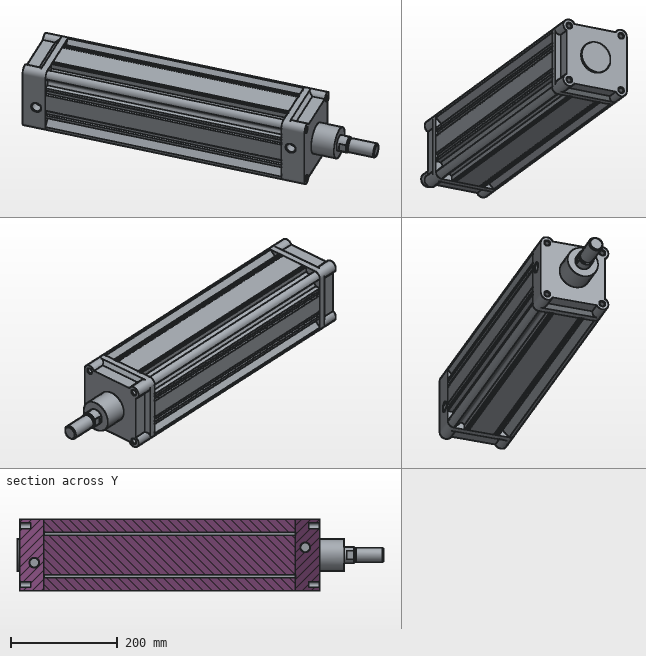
import cadquery as cq
import math

TOTAL_LENGTH = 685.0
REAR_BOSS_LENGTH = 4.0
CAP_LENGTH = 46.0
TUBE_LENGTH = 470.0
FRONT_BOSS_LENGTH = 45.0

TUBE_START = REAR_BOSS_LENGTH + CAP_LENGTH
TUBE_END = TUBE_START + TUBE_LENGTH
FRONT_FACE = TUBE_END + CAP_LENGTH
ROD_START = FRONT_FACE + FRONT_BOSS_LENGTH
CYLINDER_MIDDLE = (TUBE_START + TUBE_END) / 2

WIDTH = 134.0
HALF_WIDTH = WIDTH / 2
CORNER_RADIUS = 12.0
CORNER_CENTER = HALF_WIDTH - CORNER_RADIUS

GROOVE_WALL_SPACING = 68.0
GROOVE_DEPTH = 14.5
GROOVE_RAMP_ANGLE = 33.0
GROOVE_FLOOR_RADIUS = 3.5

SIDE_SLOT_INNER_SPACING = 35.5
SIDE_SLOT_OUTER_SPACING = 57.0
SIDE_SLOT_FLARE = 1.5
SIDE_SLOT_DEPTH = 4.0

TOP_SLOT_INNER_SPACING = 51.0
TOP_SLOT_OUTER_SPACING = 60.0
TOP_SLOT_DEPTH = 2.0

BOSS_RADIUS = 30.0
POCKET_DEPTH = 7.0
POCKET_FLOOR_LENGTH = 25.0
POCKET_SLOPE_RUN = 8.0
SCREW_HOLE_RADIUS = 5.0
SCREW_HOLE_DEPTH = 20.5
SCREW_HOLE_CHAMFER = 1.5
PORT_RADIUS = 9.0
PORT_DEPTH = 20.5
PORT_CHAMFER = 1.5
PORT_FROM_CAP_FACE = 27.5
PORT_OFFSET = 14.5

COLLAR_DIAMETER = 31.0
COLLAR_LENGTH = 5.0
FLATS_LENGTH = 14.0
FLATS_WIDTH = 27.0
THREAD_DIAMETER = 27.5
RELIEF_DIAMETER = 25.5
RELIEF_LENGTH = 4.0
ROD_CHAMFER = 2.0


def square_bar(start, length):
    """Square bar with rounded corners, running along X."""
    bar = cq.Workplane("YZ", origin=(start, 0, 0)).rect(WIDTH, WIDTH).extrude(length)
    return bar.edges("|X").fillet(CORNER_RADIUS)


def chamfered_hole(plane, radius, depth, chamfer):
    """Cutter for a round blind hole with a chamfered mouth at the plane's origin."""
    points = [(0, 0), (radius + chamfer, 0), (radius, -chamfer), (radius, -depth), (0, -depth)]
    profile = cq.Workplane(plane).polyline(points).close()
    return profile.revolve(360, (0, 0, 0), (0, 1, 0))


def tube_prism(points):
    """Prism over the tube length from outline points in (Y, Z)."""
    return cq.Workplane("YZ", origin=(TUBE_START, 0, 0)).polyline(points).close().extrude(TUBE_LENGTH)


def corner_groove():
    """Groove on the +Z face next to the +Y corner: 45 degree lip, rounded floor, ramp and wall."""
    wall = GROOVE_WALL_SPACING / 2
    bottom = CORNER_CENTER - GROOVE_DEPTH
    ramp_rise = (bottom - wall) * math.tan(math.radians(GROOVE_RAMP_ANGLE))
    floor = HALF_WIDTH - GROOVE_DEPTH
    groove = tube_prism([
        (CORNER_CENTER, HALF_WIDTH),
        (bottom, floor),
        (wall, floor + ramp_rise),
        (wall, HALF_WIDTH),
    ])
    return groove.edges("|X").edges("<Z").fillet(GROOVE_FLOOR_RADIUS)


def face_slot(inner_spacing, outer_spacing, flare, depth):
    """Slot on the +Z face, on its +Y half, whose two walls lean outward by the flare."""
    inner = inner_spacing / 2
    outer = outer_spacing / 2
    floor = HALF_WIDTH - depth
    return tube_prism([
        (inner, HALF_WIDTH),
        (inner + flare, floor),
        (outer - flare, floor),
        (outer, HALF_WIDTH),
    ])


def make_tube():
    tube = square_bar(TUBE_START, TUBE_LENGTH)
    top_slot = face_slot(TOP_SLOT_INNER_SPACING, TOP_SLOT_OUTER_SPACING, 0, TOP_SLOT_DEPTH)
    side_slot = face_slot(
        SIDE_SLOT_INNER_SPACING, SIDE_SLOT_OUTER_SPACING, SIDE_SLOT_FLARE, SIDE_SLOT_DEPTH
    )
    for turn, slot in ((0, top_slot), (90, side_slot), (180, top_slot), (270, side_slot)):
        for cutter in (corner_groove(), slot):
            for half in (cutter, cutter.mirror("XZ")):
                tube = tube.cut(half.rotate((0, 0, 0), (1, 0, 0), turn))
    return tube


def cap_pocket():
    """Pocket in the +Z face of the rear cap, open at the end face and curving around the corner screws."""
    floor = HALF_WIDTH - POCKET_DEPTH
    floor_angle = math.asin((floor - CORNER_CENTER) / CORNER_RADIUS)
    middle_angle = (floor_angle + math.pi / 2) / 2
    floor_half = CORNER_CENTER - CORNER_RADIUS * math.cos(floor_angle)
    arc_half = CORNER_CENTER - CORNER_RADIUS * math.cos(middle_angle)
    arc_height = CORNER_CENTER + CORNER_RADIUS * math.sin(middle_angle)
    pocket = (
        cq.Workplane("YZ", origin=(REAR_BOSS_LENGTH, 0, 0))
        .moveTo(-CORNER_CENTER, HALF_WIDTH)
        .threePointArc((-arc_half, arc_height), (-floor_half, floor))
        .lineTo(floor_half, floor)
        .threePointArc((arc_half, arc_height), (CORNER_CENTER, HALF_WIDTH))
        .close()
        .extrude(POCKET_FLOOR_LENGTH + POCKET_SLOPE_RUN)
    )
    slope_start = REAR_BOSS_LENGTH + POCKET_FLOOR_LENGTH
    slope_end = slope_start + POCKET_SLOPE_RUN
    end_slope = (
        cq.Workplane("XZ")
        .polyline([(slope_start, floor), (slope_end, floor), (slope_end, HALF_WIDTH)])
        .close()
        .extrude(HALF_WIDTH, both=True)
    )
    return pocket.cut(end_slope)


def make_end_cap(boss_length):
    """Cap in its rear position: end boss, screw holes, a port on -Y and pockets on the other sides."""
    cap = square_bar(REAR_BOSS_LENGTH, CAP_LENGTH)
    for turn in (0, 180, 270):
        cap = cap.cut(cap_pocket().rotate((0, 0, 0), (1, 0, 0), turn))

    for y in (-CORNER_CENTER, CORNER_CENTER):
        for z in (-CORNER_CENTER, CORNER_CENTER):
            end_plane = cq.Plane((REAR_BOSS_LENGTH, y, z), xDir=(0, 1, 0), normal=(0, 0, 1))
            cap = cap.cut(chamfered_hole(end_plane, SCREW_HOLE_RADIUS, SCREW_HOLE_DEPTH, SCREW_HOLE_CHAMFER))

    port_x = REAR_BOSS_LENGTH + PORT_FROM_CAP_FACE
    port_plane = cq.Plane((port_x, -HALF_WIDTH, -PORT_OFFSET), xDir=(1, 0, 0), normal=(0, 0, -1))
    cap = cap.cut(chamfered_hole(port_plane, PORT_RADIUS, PORT_DEPTH, PORT_CHAMFER))

    boss = cq.Workplane("YZ", origin=(REAR_BOSS_LENGTH, 0, 0)).circle(BOSS_RADIUS).extrude(-boss_length)
    return cap.union(boss)


def make_front_cap():
    """End cap with the longer boss, turned half a turn about Y to the front end."""
    middle = (CYLINDER_MIDDLE, 0, 0)
    return make_end_cap(FRONT_BOSS_LENGTH).rotate(middle, (CYLINDER_MIDDLE, 1, 0), 180)


def make_rod():
    """Rod end: collar with two wrench flats, thread relief and chamfered threaded shank."""
    collar_radius = COLLAR_DIAMETER / 2
    thread_radius = THREAD_DIAMETER / 2
    flats_start = ROD_START + COLLAR_LENGTH
    flats_end = flats_start + FLATS_LENGTH
    relief_middle = flats_end + RELIEF_LENGTH / 2
    profile = [
        (ROD_START, 0),
        (ROD_START, collar_radius),
        (flats_end, collar_radius),
        (relief_middle, RELIEF_DIAMETER / 2),
        (flats_end + RELIEF_LENGTH, thread_radius),
        (TOTAL_LENGTH - ROD_CHAMFER, thread_radius),
        (TOTAL_LENGTH, thread_radius - ROD_CHAMFER),
        (TOTAL_LENGTH, 0),
    ]
    rod = cq.Workplane("XZ").polyline(profile).close().revolve(360, (0, 0, 0), (1, 0, 0))
    for side in (-1, 1):
        flat = cq.Workplane("XY").box(FLATS_LENGTH, collar_radius, 2 * collar_radius)
        flat_y = side * (FLATS_WIDTH + collar_radius) / 2
        rod = rod.cut(flat.translate((flats_start + FLATS_LENGTH / 2, flat_y, 0)))
    return rod


rear_cap = make_end_cap(REAR_BOSS_LENGTH)
tube = make_tube()
front_cap = make_front_cap()
rod = make_rod()

result = cq.Compound.makeCompound([rear_cap.val(), tube.val(), front_cap.val(), rod.val()])